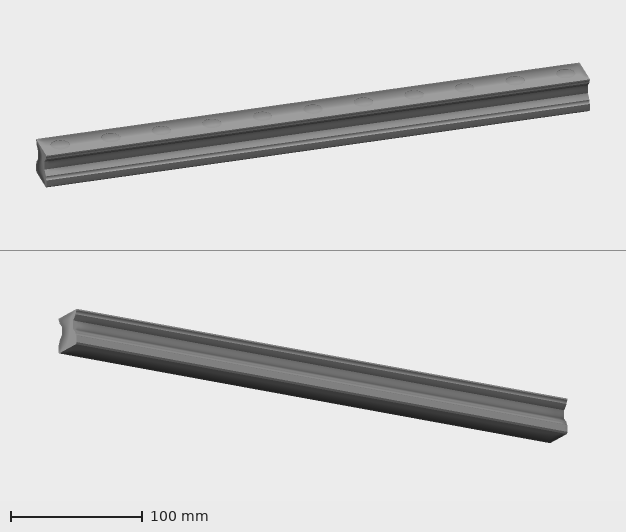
import cadquery as cq

length = 430.0
width = 28.0
height = 28.0

waist_width = 17.0
waist_height = 7.0
slope_run = 4.0
track_opening = 20.0
track_radius = 2.5
waist_mid_height = 16.8
base_chamfer = 1.5

plug_count = 11
plug_pitch = 40.0
plug_diameter = 14.5
plug_recess = 0.2


def make_half_rail():
    """Half of the rail on the +X side of the mid-plane."""
    edge_x = width / 2
    waist_x = waist_width / 2
    slope_x = waist_x + slope_run
    waist_dz = waist_height / 2
    slope_dz = waist_dz + slope_run
    track_dz = track_opening / 2
    section = (
        cq.Workplane("XZ")
        .lineTo(edge_x - base_chamfer, 0)
        .lineTo(edge_x, base_chamfer)
        .lineTo(edge_x, waist_mid_height - track_dz)
        .radiusArc((slope_x, waist_mid_height - slope_dz), track_radius)
        .lineTo(waist_x, waist_mid_height - waist_dz)
        .lineTo(waist_x, waist_mid_height + waist_dz)
        .lineTo(slope_x, waist_mid_height + slope_dz)
        .radiusArc((edge_x, waist_mid_height + track_dz), track_radius)
        .lineTo(edge_x, height)
        .lineTo(0, height)
        .close()
    )
    return section.extrude(length / 2, both=True)


def make_rail():
    half = make_half_rail()
    return half.union(half.mirror("YZ")).clean()


def make_plug_recesses():
    return (
        cq.Workplane("XY", origin=(0, 0, height - plug_recess))
        .rarray(4.5, plug_pitch, 1, plug_count)
        .circle(plug_diameter / 2)
        .extrude(plug_recess)
    )


result = make_rail().cut(make_plug_recesses())